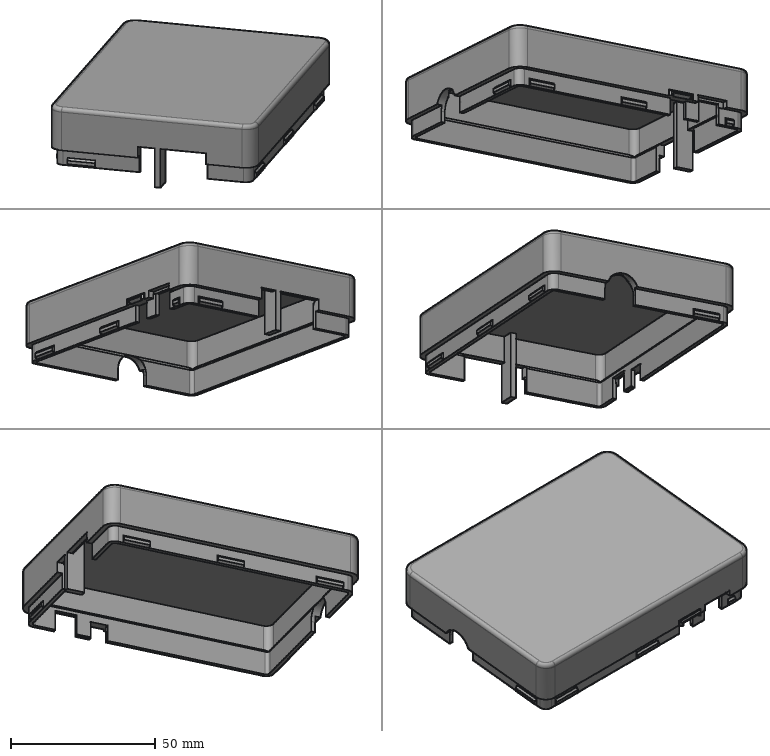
import cadquery as cq

width, depth = 74.6, 97.1
top_z = 15.6
corner_radius = 4.7
top_fillet = 1.5
wall = 2.0
overlap = 0.1

lip_inset = 1.9
lip_thickness = 1.5
lip_bottom_z = -6.0
lip_shoulder_z = 2.8
lip_radius = corner_radius - lip_inset
lip_half_x = width / 2 - lip_inset
lip_half_y = depth / 2 - lip_inset

ridge_length = 10.0
ridge_height = 2.8
ridge_reach = 0.8
left_ridge_centers = [36.9, -1.0, -36.9]
end_ridge_center = -25.8

slot_x_min, slot_x_max = -5.0, 19.6
slot_top_z = 4.0
leg_x_min, leg_width = 1.1, 2.1
leg_depth = 6.6
leg_bottom_z = -10.3
arch_x = 8.1
arch_radius = 6.0

hood_y_min, hood_y_max = -24.0, -14.2
hood_height = 2.1
hood_reach = 1.1
hood_chamfer = 0.6
hood_flare_z = 1.1
hood_flare_side = 0.6
hood_opening_y_max = -16.1
tab_y_min, tab_y_max = -27.9, -22.5
tab_bottom_z = -6.3
tab_thickness = 1.3
wide_opening_y_min = -36.0
wide_opening_top_z = 1.5
recess_y_min, recess_y_max = -38.1, -26.4
recess_top_z = 2.4
recess_depth = 2.1
front_ridge_limit_y = -38.8


def box(x_min, x_max, y_min, y_max, z_min, z_max):
    """Box given by its limits along each axis."""
    size = (x_max - x_min, y_max - y_min, z_max - z_min)
    return cq.Workplane("XY").box(*size, centered=False).translate((x_min, y_min, z_min))


def rounded_block(size_x, size_y, radius, z_min, z_max):
    """Upright block with rounded corners, centred on the Z axis."""
    plan = cq.Workplane("XY").workplane(offset=z_min).rect(size_x, size_y)
    return plan.extrude(z_max - z_min).edges("|Z").fillet(radius)


def shell():
    """Skirt and top plate, with the lip standing inside the skirt."""
    outside = rounded_block(width, depth, corner_radius, 0, top_z)
    outside = outside.faces(">Z").edges().fillet(top_fillet)
    lip_outside = rounded_block(2 * lip_half_x, 2 * lip_half_y, lip_radius, lip_bottom_z, overlap)

    upper_x, upper_y = width - 2 * wall, depth - 2 * wall
    lower_x, lower_y = 2 * (lip_half_x - lip_thickness), 2 * (lip_half_y - lip_thickness)
    slope_height = lip_inset + lip_thickness - wall
    slope_top_z = lip_shoulder_z + slope_height
    lower_cavity = rounded_block(
        lower_x, lower_y, lip_radius - lip_thickness, lip_bottom_z, lip_shoulder_z
    )
    slope = (
        cq.Workplane("XY")
        .workplane(offset=lip_shoulder_z)
        .rect(lower_x, lower_y)
        .workplane(offset=slope_height)
        .rect(upper_x, upper_y)
        .loft(ruled=True)
    )
    upper_cavity = rounded_block(upper_x, upper_y, corner_radius - wall, slope_top_z, top_z - wall)
    slope = slope.intersect(
        rounded_block(upper_x, upper_y, corner_radius - wall, lip_shoulder_z, slope_top_z)
    )
    return outside.union(lip_outside).cut(lower_cavity).cut(slope).cut(upper_cavity)


def ridge(x, y, outward_angle):
    """Snap ridge centred at (x, y) on the lip; an angle of 0 points it along +X."""
    z = lip_bottom_z
    profile = [
        (-overlap, z),
        (0, z),
        (ridge_reach, z + ridge_reach),
        (ridge_reach, z + ridge_height - ridge_reach),
        (0, z + ridge_height),
        (-overlap, z + ridge_height),
    ]
    bar = cq.Workplane("XZ").polyline(profile).close().extrude(ridge_length / 2, both=True)
    return bar.rotate((0, 0, 0), (0, 0, 1), outward_angle).translate((x, y, 0))


def hood():
    """Chamfered canopy on the left skirt, flared open underneath."""
    x_wall = -width / 2
    x_tip = x_wall - hood_reach
    canopy = box(x_tip, x_wall + overlap, hood_y_min, hood_y_max, 0, hood_height)
    canopy = canopy.faces("<X").edges("not <Z").chamfer(hood_chamfer)
    mouth_center_y = (tab_y_max + hood_opening_y_max) / 2
    mouth_length = hood_opening_y_max - tab_y_max
    flare = (
        cq.Workplane("YZ", origin=(x_wall, mouth_center_y, 0))
        .rect(mouth_length, overlap)
        .workplane(offset=-hood_reach)
        .rect(mouth_length + 2 * hood_flare_side, 2 * hood_flare_z)
        .loft(ruled=True)
    )
    return canopy.cut(flare)


def tab():
    """Flat tongue between the two left openings."""
    return box(-lip_half_x, -lip_half_x + tab_thickness, tab_y_min, tab_y_max,
               tab_bottom_z, wide_opening_top_z)


def left_openings():
    """Skirt recess and the two openings cut through the left lip."""
    x_outside = -width / 2
    x_inside = -lip_half_x + lip_thickness + overlap
    recess = box(x_outside, x_outside + recess_depth, recess_y_min, recess_y_max, 0, recess_top_z)
    wide = box(-lip_half_x - ridge_reach, x_inside, wide_opening_y_min, tab_y_min,
               lip_bottom_z, wide_opening_top_z)
    narrow = box(x_outside, x_inside, tab_y_max, hood_opening_y_max, lip_bottom_z, 0)
    ridge_trim = box(-lip_half_x - ridge_reach, -lip_half_x, front_ridge_limit_y, tab_y_min,
                     lip_bottom_z, 0)
    return recess.union(wide).union(narrow).union(ridge_trim)


def arch():
    """Round-topped passage through the back wall."""
    center_z = slot_top_z - arch_radius
    round_top = (
        cq.Workplane("XZ", origin=(arch_x, depth / 2, center_z))
        .circle(arch_radius)
        .extrude(depth / 2)
    )
    sides = box(arch_x - arch_radius, arch_x + arch_radius, 0, depth / 2, lip_bottom_z, center_z)
    return round_top.union(sides)


def leg():
    """Rib that stands flush with the front face and reaches below the lip."""
    front_y = -depth / 2
    return box(leg_x_min, leg_x_min + leg_width, front_y, front_y + leg_depth,
               leg_bottom_z, top_z - wall)


body = shell()
for center in left_ridge_centers:
    body = body.union(ridge(-lip_half_x, center, 180))
    body = body.union(ridge(lip_half_x, center, 0))
body = body.union(ridge(end_ridge_center, lip_half_y, 90))
body = body.union(ridge(end_ridge_center, -lip_half_y, -90))
body = body.union(hood())

front_slot = box(slot_x_min, slot_x_max, -depth / 2, -depth / 4, lip_bottom_z, slot_top_z)
body = body.cut(front_slot).cut(left_openings()).cut(arch())
result = body.union(tab()).union(leg())